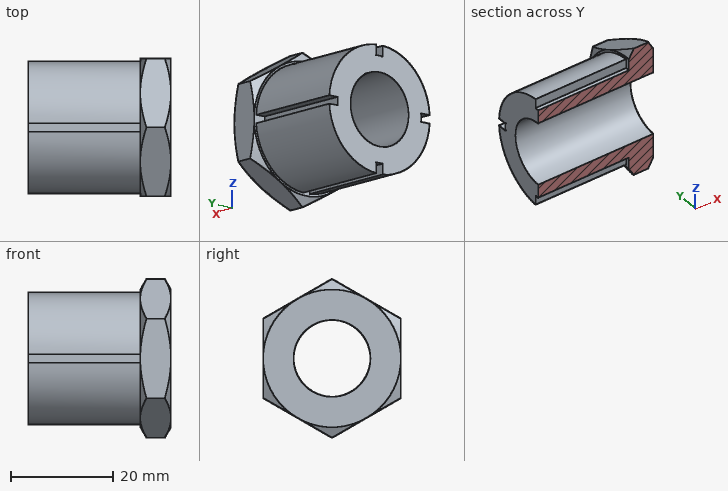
import cadquery as cq
import math

sleeve_length = 22.0
sleeve_diameter = 26.0
bore_diameter = 15.0

head_thickness = 6.0
across_flats = 27.0
across_corners = across_flats / math.cos(math.radians(30))
chamfer_angle = 30.0
chamfer_start_diameter = across_flats
total_length = sleeve_length + head_thickness

slot_count = 4
slot_width = 1.7
slot_floor_radius = 10.8


def make_sleeve():
    return cq.Workplane("YZ").circle(sleeve_diameter / 2).extrude(sleeve_length)


def make_chamfer_envelope():
    """Turned blank with a cone at each end, which bevels the hexagon's corners."""
    face_radius = chamfer_start_diameter / 2
    corner_radius = across_corners / 2
    bevel_length = (corner_radius - face_radius) * math.tan(math.radians(chamfer_angle))
    return (
        cq.Workplane("XY")
        .moveTo(sleeve_length, 0)
        .lineTo(sleeve_length, face_radius)
        .lineTo(sleeve_length + bevel_length, corner_radius)
        .lineTo(total_length - bevel_length, corner_radius)
        .lineTo(total_length, face_radius)
        .lineTo(total_length, 0)
        .close()
        .revolve(360, (0, 0, 0), (1, 0, 0))
    )


def make_head():
    hexagon = (
        cq.Workplane("YZ", origin=(sleeve_length, 0, 0))
        .transformed(rotate=(0, 0, 90))
        .polygon(6, across_corners)
        .extrude(head_thickness)
    )
    return hexagon.intersect(make_chamfer_envelope())


def make_slot_cutters():
    """Bars reaching from the slot floor to outside the sleeve, along its whole length."""
    bar_height = sleeve_diameter / 2
    bar = cq.Workplane("XY").box(
        sleeve_length, slot_width, bar_height, centered=(False, True, False)
    ).translate((0, 0, slot_floor_radius))
    cutters = cq.Workplane("XY")
    for index in range(slot_count):
        angle = index * 360 / slot_count
        cutters = cutters.add(bar.rotate((0, 0, 0), (1, 0, 0), angle))
    return cutters.combine()


def make_bore():
    return cq.Workplane("YZ").circle(bore_diameter / 2).extrude(total_length)


slotted_sleeve = make_sleeve().cut(make_slot_cutters())
result = slotted_sleeve.union(make_head()).cut(make_bore())